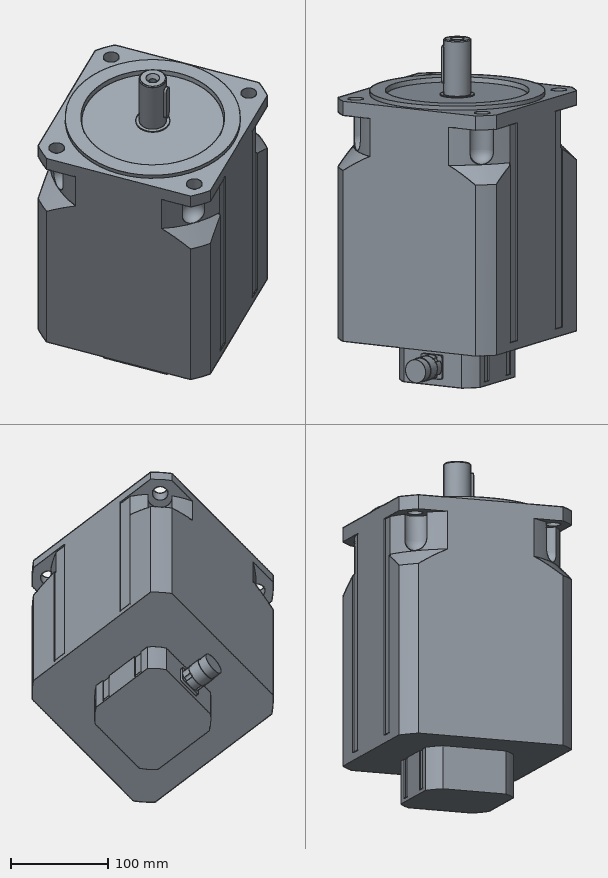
import cadquery as cq
import math


TOTAL_HEIGHT = 354.0
COVER_HEIGHT = 45.3
FLANGE_TOP = 296.0
FLANGE_THICKNESS = 15.0
PILOT_HEIGHT = 4.2
PILOT_TOP = FLANGE_TOP + PILOT_HEIGHT
RELIEF_TOP = FLANGE_TOP - FLANGE_THICKNESS
RELIEF_HEIGHT = 39.5
RELIEF_BOTTOM = RELIEF_TOP - RELIEF_HEIGHT

HOUSING_WIDTH = 190.0
CORNER_DIAMETER = 247.8
RELIEF_DIAMETER = 212.5
RELIEF_OVERCUT = 3.5

PILOT_DIAMETER = 180.0
DISH_TOP_DIAMETER = 147.5
DISH_FLOOR_DIAMETER = 145.5
DISH_DEPTH = 5.0
DISH_FLOOR = PILOT_TOP - DISH_DEPTH

HOLE_SPACING = 152.0
HOLE_DIAMETER = 16.0
HEAD_CLEARANCE_SPACING = 146.0
HEAD_CLEARANCE_DIAMETER = 25.0
HEAD_CLEARANCE_RADIUS = HEAD_CLEARANCE_DIAMETER / 2

GROOVE_DEPTH = 1.5
HOUSING_GROOVE_WIDTH = 13.8
HOUSING_GROOVE_OFFSET = 44.5
HOUSING_GROOVE_BOTTOM = 53.8
COVER_GROOVE_WIDTH = 8.5
COVER_GROOVE_OFFSET = 21.5
COVER_GROOVE_BOTTOM = 4.2

COVER_WIDTH = 97.0
COVER_CORNER_DIAMETER = 119.3

CONNECTOR_Z = 20.0
CONNECTOR_FLANGE_WIDTH = 25.0
CONNECTOR_FLANGE_FILLET = 2.5
CONNECTOR_FLANGE_THICKNESS = 3.0
CONNECTOR_BARREL_DIAMETER = 25.0
CONNECTOR_BARREL_LENGTH = 12.7
CONNECTOR_TIP_DIAMETER = 24.0
CONNECTOR_TIP_LENGTH = 10.0
CONNECTOR_NECK_DIAMETER = 24.8
CONNECTOR_NECK_LENGTH = 8.5
SCALLOP_DIAMETER = 4.5
SCALLOP_COUNT = 4

SHAFT_DIAMETER = 28.0
SHAFT_CHAMFER = 1.0
COLLAR_DIAMETER = 35.0
COLLAR_HEIGHT = 1.0
CENTRE_CONE_DIAMETER = 13.8
CENTRE_CONE_DEPTH = 4.2
CENTRE_HOLE_DIAMETER = 7.5
CENTRE_HOLE_DEPTH = 24.8
DRILL_POINT_ANGLE = 118.0

KEY_WIDTH = 8.0
KEY_LENGTH = 40.0
KEY_HEIGHT = 7.0
KEY_TOP_X = 16.5
KEY_END_GAP = 8.0


def turned_square(width, corner_diameter, bottom, height):
    """Upright square bar with its four corners turned to a diameter."""
    bar = cq.Workplane("XY").workplane(offset=bottom).rect(width, width).extrude(height)
    turning = cq.Workplane("XY").workplane(offset=bottom).circle(corner_diameter / 2).extrude(height)
    return bar.intersect(turning)


def corner_relief():
    """Ring that turns the corners down under the flange, running out in a 45 degree cone."""
    inner = RELIEF_DIAMETER / 2
    outer = CORNER_DIAMETER / 2 + RELIEF_OVERCUT
    profile = [
        (inner, RELIEF_TOP),
        (outer, RELIEF_TOP),
        (outer, RELIEF_BOTTOM - (outer - inner)),
        (inner, RELIEF_BOTTOM),
    ]
    return cq.Workplane("XZ").polyline(profile).close().revolve(360, (0, 0), (0, 1))


def corner_points(spacing, height):
    """Four points on a square about the motor axis, at a height."""
    square = cq.Workplane("XY").workplane(offset=height).rect(spacing, spacing, forConstruction=True)
    return square.vertices()


def mounting_holes():
    """Through holes in the flange and the round-ended head clearances below it."""
    end_centre = RELIEF_BOTTOM + HEAD_CLEARANCE_RADIUS
    clearance_points = corner_points(HEAD_CLEARANCE_SPACING, end_centre)
    holes = corner_points(HOLE_SPACING, RELIEF_TOP).circle(HOLE_DIAMETER / 2).extrude(FLANGE_THICKNESS)
    clearances = clearance_points.circle(HEAD_CLEARANCE_RADIUS).extrude(RELIEF_TOP - end_centre)
    clearance_ends = clearance_points.sphere(HEAD_CLEARANCE_RADIUS)
    return holes.union(clearances).union(clearance_ends)


def side_grooves(body_width, groove_width, offset, bottom, top):
    """Two shallow vertical grooves in each of the two X sides."""
    centres = [
        (x_side * body_width / 2, y_side * offset)
        for x_side in (-1, 1)
        for y_side in (-1, 1)
    ]
    return (
        cq.Workplane("XY").workplane(offset=bottom).pushPoints(centres)
        .rect(2 * GROOVE_DEPTH, groove_width).extrude(top - bottom)
    )


def pilot_dish():
    """Slightly tapered recess in the pilot face."""
    return (
        cq.Workplane("XY").workplane(offset=DISH_FLOOR).circle(DISH_FLOOR_DIAMETER / 2)
        .workplane(offset=DISH_DEPTH).circle(DISH_TOP_DIAMETER / 2).loft()
    )


def connector_plane(distance):
    """Plane facing +Y on the connector axis, at a distance from the rear cover."""
    origin = (0, COVER_WIDTH / 2 + distance, CONNECTOR_Z)
    return cq.Workplane(cq.Plane(origin=origin, xDir=(1, 0, 0), normal=(0, 1, 0)))


def make_connector():
    """Square flange, neck with scallops for the flange screws, barrel and tip in a row."""
    barrel_start = CONNECTOR_FLANGE_THICKNESS + CONNECTOR_NECK_LENGTH
    tip_start = barrel_start + CONNECTOR_BARREL_LENGTH
    flange = (
        connector_plane(0).rect(CONNECTOR_FLANGE_WIDTH, CONNECTOR_FLANGE_WIDTH)
        .extrude(CONNECTOR_FLANGE_THICKNESS)
        .edges("|Y").fillet(CONNECTOR_FLANGE_FILLET)
    )
    neck_plane = connector_plane(CONNECTOR_FLANGE_THICKNESS)
    neck = neck_plane.circle(CONNECTOR_NECK_DIAMETER / 2).extrude(CONNECTOR_NECK_LENGTH)
    scallops = (
        neck_plane.polarArray(CONNECTOR_NECK_DIAMETER / 2, 180 / SCALLOP_COUNT, 360, SCALLOP_COUNT)
        .circle(SCALLOP_DIAMETER / 2).extrude(CONNECTOR_NECK_LENGTH)
    )
    barrel = (
        connector_plane(barrel_start)
        .circle(CONNECTOR_BARREL_DIAMETER / 2).extrude(CONNECTOR_BARREL_LENGTH)
    )
    tip = connector_plane(tip_start).circle(CONNECTOR_TIP_DIAMETER / 2).extrude(CONNECTOR_TIP_LENGTH)
    return flange.union(neck.cut(scallops)).union(barrel).union(tip)


def make_housing():
    """Motor housing with mounting flange, pilot, rear cover and connector."""
    body = turned_square(HOUSING_WIDTH, CORNER_DIAMETER, COVER_HEIGHT, FLANGE_TOP - COVER_HEIGHT)
    pilot = (
        cq.Workplane("XY").workplane(offset=FLANGE_TOP)
        .circle(PILOT_DIAMETER / 2).extrude(PILOT_HEIGHT)
    )
    body = body.cut(corner_relief()).cut(mounting_holes())
    body = body.cut(side_grooves(
        HOUSING_WIDTH, HOUSING_GROOVE_WIDTH, HOUSING_GROOVE_OFFSET, HOUSING_GROOVE_BOTTOM, RELIEF_TOP
    ))
    cover = turned_square(COVER_WIDTH, COVER_CORNER_DIAMETER, 0, COVER_HEIGHT)
    cover = cover.cut(side_grooves(
        COVER_WIDTH, COVER_GROOVE_WIDTH, COVER_GROOVE_OFFSET, COVER_GROOVE_BOTTOM, COVER_HEIGHT
    ))
    return body.union(pilot).cut(pilot_dish()).union(cover).union(make_connector())


def make_key():
    """Round-ended parallel key, long along the shaft."""
    key_centre_z = TOTAL_HEIGHT - KEY_END_GAP - KEY_LENGTH / 2
    return (
        cq.Workplane("YZ").workplane(offset=KEY_TOP_X - KEY_HEIGHT)
        .center(0, key_centre_z).slot2D(KEY_LENGTH, KEY_WIDTH, 90).extrude(KEY_HEIGHT)
    )


def make_shaft(key):
    """Shaft with a collar on the dish floor, a countersunk centre hole and a keyway."""
    radius = SHAFT_DIAMETER / 2
    collar_radius = COLLAR_DIAMETER / 2
    collar_top = DISH_FLOOR + COLLAR_HEIGHT
    hole_radius = CENTRE_HOLE_DIAMETER / 2
    hole_bottom = TOTAL_HEIGHT - CENTRE_HOLE_DEPTH
    point_depth = hole_radius / math.tan(math.radians(DRILL_POINT_ANGLE / 2))
    profile = [
        (0, DISH_FLOOR),
        (collar_radius, DISH_FLOOR),
        (collar_radius, collar_top),
        (radius, collar_top),
        (radius, TOTAL_HEIGHT - SHAFT_CHAMFER),
        (radius - SHAFT_CHAMFER, TOTAL_HEIGHT),
        (CENTRE_CONE_DIAMETER / 2, TOTAL_HEIGHT),
        (hole_radius, TOTAL_HEIGHT - CENTRE_CONE_DEPTH),
        (hole_radius, hole_bottom),
        (0, hole_bottom - point_depth),
    ]
    shaft = cq.Workplane("XZ").polyline(profile).close().revolve(360, (0, 0), (0, 1))
    return shaft.cut(key)


housing = make_housing()
key = make_key()
shaft = make_shaft(key)

result = cq.Compound.makeCompound([housing.val(), shaft.val(), key.val()])